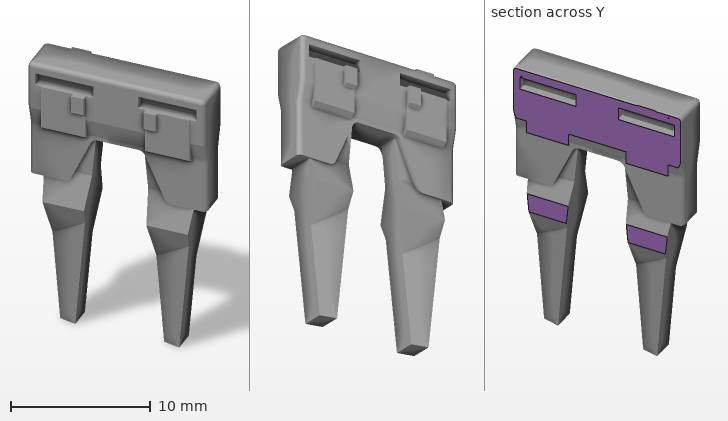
import cadquery as cq
import math


housing_length = 13.8
head_thickness = 3.2
skirt_thickness = 2.4
taper_top_z = -3.72
taper_bottom_z = -5.25
housing_bottom_z = -9.53
edge_radius = 0.35
skirt_root_radius = 0.95

arch_top_z = -5.53
arch_top_half_width = 1.96
arch_bottom_half_width = 3.8
arch_radius = 0.6

key_center_x = -4.0
key_length = 1.5

window_outer_x = 6.29
window_inner_x = 1.75
window_top_z = -0.77
window_bottom_z = -1.74
window_depth = 0.8
pad_outer_x = 5.8
pad_inner_x = 2.33
pad_thickness = 3.4
pad_edge_z = -5.15
stop_length = 0.97
stop_thickness = 4.05
stop_edge_z = -3.12
plate_bevel_slope = 0.8

leg_pitch = 8.1
tip_z = -21.58
tip_width = 1.31
leg_side_slope = 0.095
neck_thickness = 1.6
bulge_thickness = 3.42
bulge_top_z = -8.87
bulge_z = -11.42
bulge_lower_slope = 0.367
blade_half_depth = 0.88
blade_twist = 13.3


def extrude_along_x(points, x_start, x_end):
    """Extrude a closed (y, z) outline between two X positions."""
    outline = cq.Workplane("YZ", origin=(x_start, 0, 0)).polyline(points).close()
    return outline.extrude(x_end - x_start)


def extrude_through_y(points, thickness):
    """Extrude a closed (x, z) outline symmetrically about Y = 0."""
    return cq.Workplane("XZ").polyline(points).close().extrude(thickness / 2, both=True)


def box_between(x_range, y_range, z_range):
    """Axis-aligned box given by its limits."""
    size = [limits[1] - limits[0] for limits in (x_range, y_range, z_range)]
    return cq.Workplane("XY", origin=(x_range[0], y_range[0], z_range[0])).box(*size, centered=False)


def make_housing():
    """Rounded housing, thinner below its taper, with the arch cut through it."""
    head_y = head_thickness / 2
    skirt_y = skirt_thickness / 2
    half_length = housing_length / 2
    section = [
        (-head_y, 0),
        (head_y, 0),
        (head_y, taper_top_z),
        (skirt_y, taper_bottom_z),
        (skirt_y, housing_bottom_z),
        (-skirt_y, housing_bottom_z),
        (-skirt_y, taper_bottom_z),
        (-head_y, taper_top_z),
    ]
    sharp = extrude_along_x(section, -half_length, half_length)
    skirt_roots = cq.selectors.BoxSelector(
        (-half_length, -head_thickness, taper_bottom_z - edge_radius),
        (half_length, head_thickness, taper_bottom_z + edge_radius),
    )
    blended = sharp.edges("|X").edges(skirt_roots).fillet(skirt_root_radius)

    pad_middle_x = (pad_inner_x + pad_outer_x) / 2
    middle = box_between(
        (-pad_middle_x, pad_middle_x),
        (-head_thickness, head_thickness),
        (housing_bottom_z, 0),
    )
    housing = blended.cut(middle).union(sharp.intersect(middle))

    bottom = housing.faces("<Z").edges().vals()
    rounded = housing.faces("<X or >X or >Z").edges()
    rounded = rounded.filter(lambda edge: not any(edge.isSame(other) for other in bottom))
    return rounded.fillet(edge_radius).cut(make_arch())


def make_arch():
    """Tapered opening, rounded at its top corners and where it meets the housing bottom."""
    margin = arch_radius / 2
    below_z = housing_bottom_z - 2 * margin
    arch = extrude_through_y(
        [
            (-arch_top_half_width, arch_top_z),
            (arch_top_half_width, arch_top_z),
            (arch_bottom_half_width, housing_bottom_z),
            (housing_length, housing_bottom_z),
            (housing_length, below_z),
            (-housing_length, below_z),
            (-housing_length, housing_bottom_z),
            (-arch_bottom_half_width, housing_bottom_z),
        ],
        2 * head_thickness,
    )
    rounded_corners = cq.selectors.BoxSelector(
        (-arch_bottom_half_width - margin, -2 * head_thickness, housing_bottom_z - margin),
        (arch_bottom_half_width + margin, 2 * head_thickness, 0),
    )
    return arch.edges("|Y").edges(rounded_corners).fillet(arch_radius)


def make_key():
    """Square block that fills the rounded rear top edge over a short length."""
    return box_between(
        (key_center_x - key_length / 2, key_center_x + key_length / 2),
        (head_thickness / 2 - edge_radius, head_thickness / 2),
        (-edge_radius, 0),
    )


def make_windows():
    """Two shallow windows in the front face and two in the rear face."""
    outer_y = head_thickness / 2
    window = box_between(
        (window_inner_x, window_outer_x),
        (outer_y - window_depth, outer_y),
        (window_bottom_z, window_top_z),
    )
    windows = window.union(window.mirror("YZ"))
    return windows.union(windows.mirror("XZ"))


def make_raised_plate(x_range, thickness, edge_z, base_thickness):
    """Plate through the housing, bevelled at its lower front and rear edges."""
    outer_y = thickness / 2
    base_y = base_thickness / 2
    foot_z = edge_z - plate_bevel_slope * (outer_y - base_y)
    section = [
        (-outer_y, window_bottom_z),
        (outer_y, window_bottom_z),
        (outer_y, edge_z),
        (base_y, foot_z),
        (-base_y, foot_z),
        (-outer_y, edge_z),
    ]
    return extrude_along_x(section, *x_range)


def make_grips():
    """Pads and stops for both halves of the housing."""
    pad = make_raised_plate((pad_inner_x, pad_outer_x), pad_thickness, pad_edge_z, skirt_thickness)
    stop_range = (pad_inner_x, pad_inner_x + stop_length)
    stop = make_raised_plate(stop_range, stop_thickness, stop_edge_z, pad_thickness)
    grip = pad.union(stop)
    return grip.union(grip.mirror("YZ"))


def make_leg():
    """Leg centred on X = 0: a bulged upper part running into a twisted, tapered blade."""
    tip_half = tip_width / 2
    top_half = tip_half + leg_side_slope * (arch_top_z - tip_z)
    taper = extrude_through_y(
        [(-tip_half, tip_z), (tip_half, tip_z), (top_half, arch_top_z), (-top_half, arch_top_z)],
        2 * bulge_thickness,
    )
    neck_y = neck_thickness / 2
    bulge_y = bulge_thickness / 2
    bulge_point_z = bulge_z - bulge_y / bulge_lower_slope
    upper = extrude_along_x(
        [
            (-neck_y, arch_top_z),
            (neck_y, arch_top_z),
            (neck_y, bulge_top_z),
            (bulge_y, bulge_z),
            (0, bulge_point_z),
            (-bulge_y, bulge_z),
            (-neck_y, bulge_top_z),
        ],
        -top_half,
        top_half,
    )
    rise = top_half * math.tan(math.radians(blade_twist))
    blade_section = [
        (-top_half, rise - blade_half_depth),
        (top_half, -rise - blade_half_depth),
        (top_half, -rise + blade_half_depth),
        (-top_half, rise + blade_half_depth),
    ]
    blade_outline = cq.Workplane("XY", origin=(0, 0, tip_z)).polyline(blade_section).close()
    blade = blade_outline.extrude(bulge_z - tip_z)
    return upper.union(blade).intersect(taper)


housing = make_housing().union(make_key()).cut(make_windows()).union(make_grips())
leg = make_leg()
result = housing
for side in (-1, 1):
    result = result.union(leg.translate((side * leg_pitch / 2, 0, 0)))